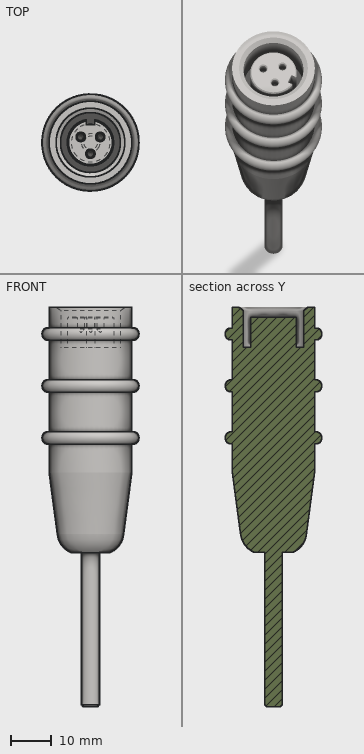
import cadquery as cq
import math

total_length = 98.0

body_radius = 20.3 / 2
body_bottom_z = 57.4

ring_outer_radius = 23.8 / 2
ring_height = 3.0
ring_arch = 1.2
ring_flat_radius = ring_outer_radius - ring_arch
ring_pitch = 12.7
ring_count = 3
top_ring_drop = 6.6
top_ring_z = total_length - top_ring_drop

cone_bottom_radius = 8.1
cone_bottom_z = 42.3
relief_bottom_z = 37.8
relief_end_radius = 4.7
round_bulge = 0.8

cable_radius = 4.5 / 2
cable_chamfer = 0.6

mouth_radius = 8.4
well_radius = 14.7 / 2
mouth_depth = 0.8
well_depth = 9.8

insert_radius = 5.7
insert_chamfer = 0.3
insert_drop = 2.4
insert_top_z = total_length - insert_drop
key_width = 2.2
key_floor_y = 4.3

contact_count = 3
contact_circle_radius = 2.7
socket_radius = 1.8 / 2
socket_mouth_radius = 2.3 / 2
socket_depth = 2.9
socket_tip_depth = 0.9


def cylinder(radius, bottom_z, top_z):
    return cq.Workplane("XY").workplane(offset=bottom_z).circle(radius).extrude(top_z - bottom_z)


def revolve_profile(profile):
    """Turn a closed (radius, z) outline once around the Z axis."""
    return profile.close().revolve(360, (0, 0, 0), (0, 1, 0))


def make_shell():
    """Sleeve and strain relief as one turned shape."""
    corner_radius = (cone_bottom_radius + relief_end_radius) / 2
    corner_z = (cone_bottom_z + relief_bottom_z) / 2
    chord = math.hypot(cone_bottom_radius - relief_end_radius, cone_bottom_z - relief_bottom_z)
    mid_point = (
        corner_radius + round_bulge * (cone_bottom_z - relief_bottom_z) / chord,
        corner_z - round_bulge * (cone_bottom_radius - relief_end_radius) / chord,
    )
    return revolve_profile(
        cq.Workplane("XZ")
        .moveTo(0, total_length)
        .lineTo(body_radius, total_length)
        .lineTo(body_radius, body_bottom_z)
        .lineTo(cone_bottom_radius, cone_bottom_z)
        .threePointArc(mid_point, (relief_end_radius, relief_bottom_z))
        .lineTo(0, relief_bottom_z)
    )


def make_ring(center_z):
    """Grip ring with flat sides and an arched rim, rooted inside the sleeve wall."""
    bottom_z = center_z - ring_height / 2
    top_z = center_z + ring_height / 2
    root_radius = (body_radius + mouth_radius) / 2
    return revolve_profile(
        cq.Workplane("XZ")
        .moveTo(root_radius, bottom_z)
        .lineTo(ring_flat_radius, bottom_z)
        .threePointArc((ring_outer_radius, center_z), (ring_flat_radius, top_z))
        .lineTo(root_radius, top_z)
    )


def make_cable():
    return cylinder(cable_radius, 0, relief_bottom_z).faces("<Z").chamfer(cable_chamfer)


def make_well():
    """Round well with a flared mouth."""
    return revolve_profile(
        cq.Workplane("XZ")
        .moveTo(0, total_length)
        .lineTo(mouth_radius, total_length)
        .lineTo(well_radius, total_length - mouth_depth)
        .lineTo(well_radius, total_length - well_depth)
        .lineTo(0, total_length - well_depth)
    )


def make_socket():
    """Countersunk contact hole with a pointed bottom, on the Z axis."""
    countersink_depth = socket_mouth_radius - socket_radius
    return revolve_profile(
        cq.Workplane("XZ")
        .moveTo(0, insert_top_z)
        .lineTo(socket_mouth_radius, insert_top_z)
        .lineTo(socket_radius, insert_top_z - countersink_depth)
        .lineTo(socket_radius, insert_top_z - socket_depth)
        .lineTo(0, insert_top_z - socket_depth - socket_tip_depth)
    )


def make_insert():
    """Chamfered post with a key slot on the +Y side and three sockets."""
    well_floor_z = total_length - well_depth
    insert = cylinder(insert_radius, well_floor_z, insert_top_z).faces(">Z").chamfer(insert_chamfer)
    key_slot = cq.Workplane("XY").box(
        key_width, insert_radius, insert_top_z - well_floor_z, centered=(True, False, False)
    )
    insert = insert.cut(key_slot.translate((0, key_floor_y, well_floor_z)))
    for index in range(contact_count):
        angle = 360 * index / contact_count
        socket = make_socket().translate((0, -contact_circle_radius, 0))
        insert = insert.cut(socket.rotate((0, 0, 0), (0, 0, 1), angle))
    return insert


result = make_shell().union(make_cable())
for ring_index in range(ring_count):
    result = result.union(make_ring(top_ring_z - ring_index * ring_pitch))
result = result.cut(make_well()).union(make_insert())